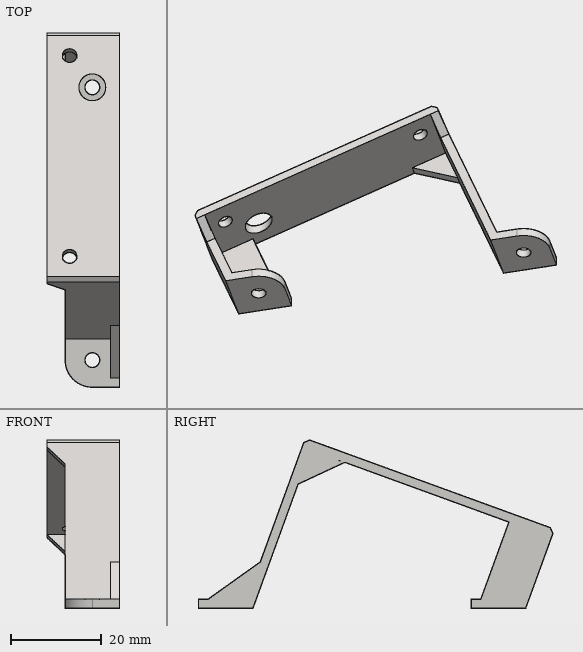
import cadquery as cq
import math

WIDTH = 16.0
LEG_INSET = 4.0
THICKNESS = 2.0
TILT = 20.0
OVERALL_HEIGHT = 37.04
FOOT_LENGTH = 12.0
FOOT_PITCH = 60.0
FOOT_RADIUS = 6.0
CORNER_CHAMFER = 1.0

SCREW_DIAMETER = 3.2
ACCESS_DIAMETER = 5.9
FOOT_HOLE_OFFSET = 6.0
PLATE_HOLE_X = 5.0
PLATE_HOLE_PITCH = 47.0

RIB_THICKNESS = 2.0
RIB_DEPTH = 8.0
FRONT_RIB_HEIGHT = 8.2

SIN = math.sin(math.radians(TILT))
COS = math.cos(math.radians(TILT))
RIB_FOOT_LENGTH = RIB_DEPTH / COS
LEG_FOOTPRINT = THICKNESS / COS
PLATE_LENGTH = FOOT_PITCH * COS + THICKNESS
FRONT_HEEL_Y = FOOT_LENGTH
REAR_HEEL_Y = FOOT_PITCH + FOOT_LENGTH
REAR_LEG_LENGTH = (OVERALL_HEIGHT - (PLATE_LENGTH - CORNER_CHAMFER) * SIN) / COS


def plate_point(along, depth):
    """(Y, Z) of a point 'along' the plate from its rear outer corner and 'depth' below its top."""
    leg_height = REAR_LEG_LENGTH - depth
    y = REAR_HEEL_Y + leg_height * SIN - along * COS
    z = leg_height * COS + along * SIN
    return (y, z)


def leg_front_point(heel_y, z):
    """(Y, Z) of a point at height z on the -Y face of the leg that starts at heel_y."""
    return (heel_y - LEG_FOOTPRINT + z * SIN / COS, z)


def extrude_profile(points, x_start, x_end):
    """Prism along X from a (Y, Z) outline."""
    return cq.Workplane("YZ").workplane(offset=x_start).polyline(points).close().extrude(x_end - x_start)


def make_plate():
    """Sloping plate with both outer bends chamfered."""
    outline = [
        plate_point(0, THICKNESS),
        plate_point(0, CORNER_CHAMFER),
        plate_point(CORNER_CHAMFER, 0),
        plate_point(PLATE_LENGTH - CORNER_CHAMFER, 0),
        plate_point(PLATE_LENGTH, CORNER_CHAMFER),
        plate_point(PLATE_LENGTH, THICKNESS),
    ]
    return extrude_profile(outline, 0, WIDTH)


def make_leg(heel_y, plate_start):
    """Leg from the floor to the plate, with a 45 degree flare out to the full plate width."""
    plate_end = plate_start + THICKNESS
    outline = [
        (heel_y, 0),
        (heel_y - LEG_FOOTPRINT, 0),
        plate_point(plate_end, THICKNESS),
        plate_point(plate_start, THICKNESS),
    ]
    leg = extrude_profile(outline, LEG_INSET, WIDTH)

    y, z = plate_point(plate_start, THICKNESS)
    leg_plane = cq.Plane(origin=(0, y, z), xDir=(1, 0, 0), normal=(0, -COS, SIN))
    flare_outline = [(0, 0), (LEG_INSET, 0), (LEG_INSET, -LEG_INSET)]
    flare = cq.Workplane(leg_plane).polyline(flare_outline).close().extrude(THICKNESS)
    return leg.union(flare)


def make_foot(heel_y):
    """Flat foot with one rounded corner and a vertical screw hole."""
    toe_y = heel_y - FOOT_LENGTH
    outline = [
        (heel_y, 0),
        (toe_y, 0),
        (toe_y, THICKNESS),
        leg_front_point(heel_y, THICKNESS),
    ]
    foot = extrude_profile(outline, LEG_INSET, WIDTH)
    foot = foot.edges("|Z").edges("<X").fillet(FOOT_RADIUS)
    hole = (
        cq.Workplane("XY")
        .center(LEG_INSET + FOOT_HOLE_OFFSET, toe_y + FOOT_HOLE_OFFSET)
        .circle(SCREW_DIAMETER / 2)
        .extrude(THICKNESS)
    )
    return foot.cut(hole)


def make_rib(outline):
    """Rib flush with the +X side."""
    return extrude_profile(outline, WIDTH - RIB_THICKNESS, WIDTH)


def make_ribs():
    """Ribs at the front foot, under the front bend, and from rear foot to plate."""
    inner_bend = PLATE_LENGTH - THICKNESS
    front_foot_y, foot_top = leg_front_point(FRONT_HEEL_Y, THICKNESS)
    front_rib = make_rib([
        (front_foot_y, foot_top),
        (front_foot_y - RIB_FOOT_LENGTH, foot_top),
        leg_front_point(FRONT_HEEL_Y, THICKNESS + FRONT_RIB_HEIGHT),
    ])
    bend_rib = make_rib([
        plate_point(inner_bend, THICKNESS),
        plate_point(inner_bend - RIB_DEPTH, THICKNESS),
        plate_point(inner_bend, THICKNESS + RIB_DEPTH),
    ])
    rear_foot_y, foot_top = leg_front_point(REAR_HEEL_Y, THICKNESS)
    rear_rib = make_rib([
        (rear_foot_y, foot_top),
        (rear_foot_y - RIB_FOOT_LENGTH, foot_top),
        plate_point(THICKNESS + RIB_DEPTH, THICKNESS),
        plate_point(THICKNESS, THICKNESS),
    ])
    return front_rib.union(bend_rib).union(rear_rib)


def make_plate_holes():
    """Two screw holes square to the plate, centred along its length."""
    y, z = plate_point(PLATE_LENGTH / 2, THICKNESS)
    plate_plane = cq.Plane(origin=(PLATE_HOLE_X, y, z), xDir=(1, 0, 0), normal=(0, SIN, COS))
    half_pitch = PLATE_HOLE_PITCH / 2
    return (
        cq.Workplane(plate_plane)
        .pushPoints([(0, -half_pitch), (0, half_pitch)])
        .circle(SCREW_DIAMETER / 2)
        .extrude(THICKNESS)
    )


def make_access_hole():
    """Vertical hole through the plate, in line with the rear foot hole."""
    hole_y = REAR_HEEL_Y - FOOT_LENGTH + FOOT_HOLE_OFFSET
    return (
        cq.Workplane("XY", origin=(0, 0, THICKNESS))
        .center(LEG_INSET + FOOT_HOLE_OFFSET, hole_y)
        .circle(ACCESS_DIAMETER / 2)
        .extrude(OVERALL_HEIGHT)
    )


result = (
    make_plate()
    .union(make_leg(FRONT_HEEL_Y, PLATE_LENGTH - THICKNESS))
    .union(make_leg(REAR_HEEL_Y, 0))
    .union(make_foot(FRONT_HEEL_Y))
    .union(make_foot(REAR_HEEL_Y))
    .union(make_ribs())
    .cut(make_plate_holes())
    .cut(make_access_hole())
)